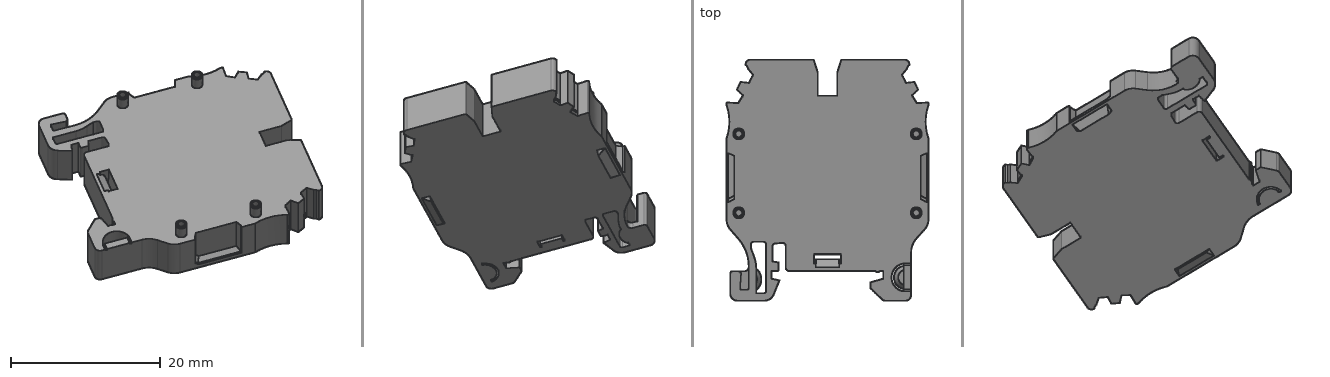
import cadquery as cq
import math


HEIGHT = 32.2
WIDTH = 27.0
HALF_WIDTH = WIDTH / 2
THICKNESS = 6.05

SLOT_HALF_WIDTH = 1.3
SLOT_MOUTH_HALF_WIDTH = 1.85
SLOT_DEPTH = 4.8
SLOT_TAPER_DEPTH = 1.7

UPPER_NOTCH = (9.95, 30.17)
LOWER_NOTCH = (11.3, 27.45)
GROOVE_LENGTH = 0.95
GROOVE_DEPTH = 0.65
GROOVE_Z = 0.58
GROOVE_WIDTH = 0.32

SEAT_Y = 3.95
SEAT_LEFT_X = -5.6
FOOT_RIGHT_X = 11.17
FOOT_LEFT_X = -13.0
ARM_OUTER_X = -10.53
ARM_ROOT_RADIUS = 0.58
JAW_TOP_Y = 2.95
LIP_DROP = 0.13
JAW_RIGHT_X = 7.45
CLAW_RIGHT_X = 5.73
JAW_LEFT_X = -7.47
RELIEF_LEFT_X = -7.35
NUB_X = -6.55

ARM_INNER_X = -9.5
ARM_SLOT_TOP_X = -10.2
ARM_SLOT_WALL_X = -8.2
ARM_SLOT_BOTTOM_Y = 1.03
ARM_SLOT_TOP_Y = 7.85

SLIT_FLOOR_Z = 1.03
SLIT_BOTTOM_Y = 1.48
SLIT_OPEN_Y = SEAT_Y + ARM_ROOT_RADIUS

PEG_X = 11.85
PEG_Y = (11.75, 22.28)
PEG_RADIUS = 0.75
PEG_HEIGHT = 1.95
PEG_CHAMFER = 0.13
PEG_BORE_RADIUS = 0.45

POCKET_LIP_X = 13.25
POCKET_BACK_X = 12.43
TAB_OUTER_X = 13.15
TAB_INNER_X = 11.98
TAB_DROP = 0.58

WINDOW_HALF_WIDTH = 1.77
WINDOW_LOW_Y = 5.0
WINDOW_HIGH_Y = 6.28
WINDOW_DRAFT = 0.15
RAMP_HALF_WIDTH = 1.55
RAMP_START_Y = 4.48
RAMP_END_Y = 5.57
RAMP_DROP = 0.65

LEFT_BOSS = (-10.63, 2.85)
LEFT_BOSS_RADIUS = 1.8
LEFT_BOSS_CUT_X = -9.98
RIGHT_BOSS = (10.43, 3.12)
RIGHT_BOSS_RADIUS = 1.58
BOSS_TAPER = 0.58
BOSS_HEIGHT = 1.03

ROUND_POCKET_RADIUS = 1.87
SHELF_X = 10.18
SHELF_DEPTH = 0.2
RIB_HALF_LENGTH = 1.6


def rounded_outline(corners):
    """Closed wire through (x, y) corners; an (x, y, radius) corner is rounded."""
    spans = []
    for i, corner in enumerate(corners):
        here = cq.Vector(corner[0], corner[1])
        if len(corner) == 2:
            spans.append((here,))
            continue
        before = corners[i - 1]
        after = corners[(i + 1) % len(corners)]
        to_before = (cq.Vector(before[0], before[1]) - here).normalized()
        to_after = (cq.Vector(after[0], after[1]) - here).normalized()
        half_angle = to_before.getAngle(to_after) / 2
        radius = corner[2]
        tangent = radius / math.tan(half_angle)
        to_middle = radius / math.sin(half_angle) - radius
        middle = here + (to_before + to_after).normalized() * to_middle
        spans.append((here + to_before * tangent, middle, here + to_after * tangent))
    path = cq.Workplane("XY").moveTo(spans[0][-1].x, spans[0][-1].y)
    for span in spans[1:] + spans[:1]:
        path = path.lineTo(span[0].x, span[0].y)
        if len(span) == 3:
            path = path.threePointArc(span[1].toTuple()[:2], span[2].toTuple()[:2])
    return path.close()


def mirrored(corners):
    """The same corners on the other side of X = 0, in reverse order."""
    return [(-corner[0], *corner[1:]) for corner in reversed(corners)]


def plate():
    """Housing outline, symmetric above the two different feet."""
    upper_right = [
        (SLOT_HALF_WIDTH, HEIGHT - SLOT_DEPTH),
        (SLOT_HALF_WIDTH, HEIGHT - SLOT_TAPER_DEPTH),
        (SLOT_MOUTH_HALF_WIDTH, HEIGHT, 0.13),
        (10.95, HEIGHT, 0.65),
        (10.95, 31.52),
        (10.72, 31.27),
        (10.6, 30.95),
        UPPER_NOTCH,
        (10.5, 29.1),
        (11.6, 29.25),
        (12.1, 28.2),
        LOWER_NOTCH,
        (11.9, 26.4),
        (HALF_WIDTH, 26.5, 0.15),
        (HALF_WIDTH, 26.18),
        (12.72, 23.9, 6.75),
        (HALF_WIDTH, 21.65),
        (HALF_WIDTH, 10.1, 2.2),
    ]
    right_foot = [
        (FOOT_RIGHT_X, 7.55, 2.9),
        (FOOT_RIGHT_X, 0.0, 0.77),
        (7.47, 0.0, 0.65),
        (CLAW_RIGHT_X, 1.67),
        (CLAW_RIGHT_X, 2.48),
        (JAW_RIGHT_X, JAW_TOP_Y),
        (JAW_RIGHT_X, SEAT_Y),
        (7.02, SEAT_Y),
        (6.83, SEAT_Y - LIP_DROP),
        (6.57, SEAT_Y - LIP_DROP),
        (6.38, SEAT_Y),
    ]
    left_foot = [
        (SEAT_LEFT_X, SEAT_Y, 0.5),
        (SEAT_LEFT_X, 7.75, 0.4),
        (RELIEF_LEFT_X, 7.6, 0.4),
        (RELIEF_LEFT_X, 5.28),
        (NUB_X, 5.12),
        (NUB_X, SEAT_Y, 0.15),
        (JAW_LEFT_X, SEAT_Y),
        (JAW_LEFT_X, JAW_TOP_Y),
        (-6.4, 2.75),
        (-7.5, 0.0, 1.4),
        (FOOT_LEFT_X, 0.0, 1.0),
        (FOOT_LEFT_X, SEAT_Y, 0.35),
        (ARM_OUTER_X, SEAT_Y, ARM_ROOT_RADIUS),
        (ARM_OUTER_X, 6.7, 5.6),
    ]
    outline = upper_right + right_foot + left_foot + mirrored(upper_right)
    return rounded_outline(outline).extrude(THICKNESS)


def arm_slot():
    """Through slot that frees the spring arm."""
    corners = [
        (ARM_SLOT_WALL_X, ARM_SLOT_TOP_Y, 0.32),
        (ARM_SLOT_WALL_X, ARM_SLOT_BOTTOM_Y, 0.25),
        (ARM_INNER_X, ARM_SLOT_BOTTOM_Y),
        (ARM_INNER_X, 5.15, 4.5),
        (ARM_SLOT_TOP_X, 7.02),
        (ARM_SLOT_TOP_X, ARM_SLOT_TOP_Y, 0.32),
    ]
    return rounded_outline(corners).extrude(THICKNESS)


def hook_slit():
    """Blind slit between the spring arm and its hook."""
    corners = [
        (ARM_OUTER_X, SLIT_OPEN_Y),
        (ARM_OUTER_X, SLIT_BOTTOM_Y, 0.2),
        (-11.7, SLIT_BOTTOM_Y, 0.2),
        (-11.53, 3.67),
        (-11.82, SEAT_Y),
        (-11.82, SLIT_OPEN_Y),
    ]
    slit = rounded_outline(corners).extrude(THICKNESS - SLIT_FLOOR_Z)
    return slit.translate((0, 0, SLIT_FLOOR_Z))


def side_pocket():
    """Right-hand pocket, open to the side and the top, narrowing inwards."""
    lip = [(19.7, 0.68), (13.62, 0.68), (13.17, 1.1), (13.17, THICKNESS), (19.7, THICKNESS)]
    back = [(19.35, 1.03), (14.05, 1.03), (13.6, 1.45), (13.6, THICKNESS), (19.35, THICKNESS)]
    lip_plane = cq.Workplane("YZ", origin=(POCKET_LIP_X, 0, 0))
    mouth = lip_plane.polyline(lip).close().extrude(HALF_WIDTH - POCKET_LIP_X)
    taper = (
        lip_plane.polyline(lip).close()
        .workplane(offset=POCKET_BACK_X - POCKET_LIP_X)
        .polyline(back).close()
        .loft(ruled=True)
    )
    return mouth.union(taper)


def wedge_tab():
    """Right-hand wedge below the plate, with sloping ends."""
    side = [(TAB_OUTER_X, 0), (TAB_INNER_X, 0), (TAB_INNER_X, -TAB_DROP)]
    ends = [(19.42, 0), (18.93, -TAB_DROP), (14.4, -TAB_DROP), (13.9, 0)]
    wedge = cq.Workplane("XZ").polyline(side).close().extrude(-HEIGHT)
    width = cq.Workplane("YZ").polyline(ends).close().extrude(HALF_WIDTH)
    return wedge.intersect(width)


def peg(x, y):
    """Bored peg on the upper face."""
    blank = cq.Workplane("XY").circle(PEG_RADIUS).extrude(PEG_HEIGHT)
    blank = blank.faces(">Z").chamfer(PEG_CHAMFER)
    bored = blank.cut(cq.Workplane("XY").circle(PEG_BORE_RADIUS).extrude(PEG_HEIGHT))
    return bored.translate((x, y, THICKNESS))


def centred_profile(corners, half_width):
    """(y, z) profile extruded equally to both sides of X = 0."""
    return cq.Workplane("YZ").polyline(corners).close().extrude(half_width, both=True)


def latch_window():
    """Through window whose lower edge carries a ramp."""
    window = [
        (WINDOW_LOW_Y, 0),
        (WINDOW_HIGH_Y - WINDOW_DRAFT, 0),
        (WINDOW_HIGH_Y, THICKNESS),
        (WINDOW_LOW_Y, THICKNESS),
    ]
    return centred_profile(window, WINDOW_HALF_WIDTH)


def latch_ramp():
    """Solid under the ramp, standing in the window."""
    ramp = [
        (WINDOW_LOW_Y, 0),
        (RAMP_END_Y, 0),
        (RAMP_END_Y, THICKNESS),
        (WINDOW_LOW_Y, THICKNESS),
    ]
    return centred_profile(ramp, RAMP_HALF_WIDTH)


def ramp_relief():
    """Wedge removed above the ramp."""
    relief = [
        (RAMP_START_Y, THICKNESS),
        (RAMP_END_Y, THICKNESS),
        (RAMP_END_Y, THICKNESS - RAMP_DROP),
    ]
    return centred_profile(relief, RAMP_HALF_WIDTH)


def boss(centre, radius, x_range):
    """Tapered round boss on the lower face, kept only inside x_range."""
    x, y = centre
    low_x, high_x = x_range
    cone = cq.Workplane("XY").add(cq.Solid.makeCone(radius, radius - BOSS_TAPER, BOSS_HEIGHT))
    keep = cq.Workplane("XY").box(high_x - low_x, HEIGHT, BOSS_HEIGHT, centered=False)
    return cone.translate((x, y, 0)).intersect(keep.translate((low_x, 0, 0)))


def round_pocket():
    """Half-round through pocket in the right foot, ending at the shelf."""
    x, y = RIGHT_BOSS
    disc = cq.Workplane("XY").center(x, y).circle(ROUND_POCKET_RADIUS).extrude(THICKNESS)
    keep = cq.Workplane("XY").box(SHELF_X, HEIGHT, THICKNESS, centered=False)
    return disc.intersect(keep)


def shelf_recess():
    """Two shallow steps in the shelf, one on each side of a raised rib."""
    size = (FOOT_RIGHT_X - SHELF_X, ROUND_POCKET_RADIUS - RIB_HALF_LENGTH, SHELF_DEPTH)
    step = cq.Workplane("XY").box(*size, centered=False)
    z = THICKNESS - SHELF_DEPTH
    low = step.translate((SHELF_X, RIGHT_BOSS[1] - ROUND_POCKET_RADIUS, z))
    high = step.translate((SHELF_X, RIGHT_BOSS[1] + RIB_HALF_LENGTH, z))
    return low.union(high)


def shoulder_groove(notch):
    """Flat-backed groove across the lower flank of a right-hand notch."""
    x, y = notch
    groove = cq.Workplane("XY").box(GROOVE_DEPTH, GROOVE_LENGTH, GROOVE_WIDTH, centered=False)
    return groove.translate((x, y - GROOVE_LENGTH, GROOVE_Z))


result = plate().cut(arm_slot()).cut(hook_slit())
result = result.union(boss(LEFT_BOSS, LEFT_BOSS_RADIUS, (LEFT_BOSS_CUT_X, SEAT_LEFT_X)))
result = result.cut(round_pocket()).cut(shelf_recess())
result = result.union(boss(RIGHT_BOSS, RIGHT_BOSS_RADIUS, (0, SHELF_X)))

result = result.cut(latch_window()).union(latch_ramp()).cut(ramp_relief())

for notch in (UPPER_NOTCH, LOWER_NOTCH):
    groove = shoulder_groove(notch)
    result = result.cut(groove).cut(groove.mirror("YZ"))
pocket = side_pocket()
result = result.cut(pocket).cut(pocket.mirror("YZ"))
tab = wedge_tab()
result = result.union(tab).union(tab.mirror("YZ"))
for peg_y in PEG_Y:
    for peg_x in (-PEG_X, PEG_X):
        result = result.union(peg(peg_x, peg_y))